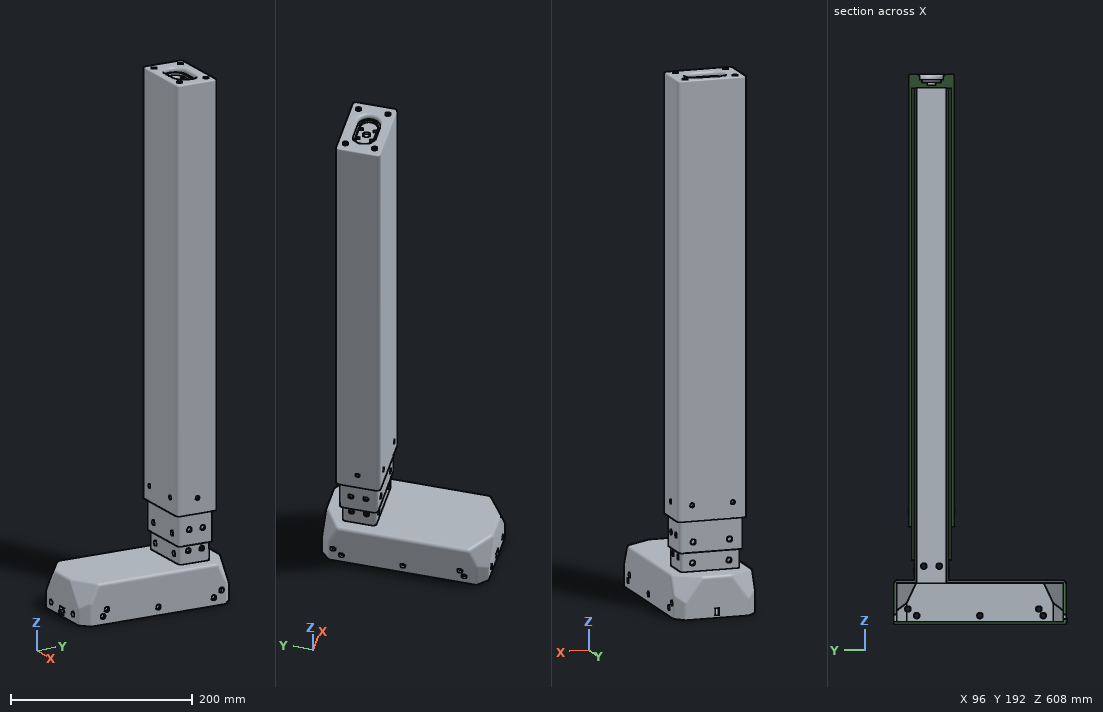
import cadquery as cq

foot_width = 96.0
foot_length = 191.0
foot_height = 49.0
foot_wall = 3.5
foot_floor = 3.0
foot_fillet = 5.0
corner_cut = 11.0
bevel_x = 33.5
bevel_y = 21.0
bevel_z = 45.0

foot_hole_d = 6.0
side_hole_ys = (-70.0, 0, 70.0)
side_hole_z = 10.0
upper_side_hole_ys = (-65.0, 79.5)
upper_side_hole_z = 17.0
front_hole_x = 25.0
front_hole_z = 10.0

slot_width = 10.0
slot_bottom = foot_floor
slot_top = 11.0
back_slot_width = 5.0
tab_thickness = 3.0
tab_overhang = 1.0

groove_length = 32.0
groove_width = 3.0
groove_depth = 2.0
groove_angle = 72
groove_centres = ((-25.5, -11.5), (29.0, -31.5))

column_y = 53.5
column_top = 608.0
tube_wall = 3.0
outer_width = 81.0
outer_depth = 51.0
outer_bottom = 107.5
middle_width = 74.0
middle_depth = 44.0
middle_bottom = 71.0
inner_width = 69.5
inner_depth = 39.0
corner_radius = 4.0
bore_corner_radius = 2.5

cap_thickness = 15.0
cap_edge = 2.0
cap_underside = column_top - cap_thickness
cap_screw_d = 3.0
cap_screw_sink_d = 6.0
cap_screw_sink_depth = 1.0
cap_screw_depth = 9.0
cap_screw_x = 58.5
cap_screw_y = 33.5

recess_straight = 20.0
recess_radius = 13.0
ledge_depth = 6.0
recess_depth = 9.0
ledge_width = 2.5
recess_mouth_fillet = 4.0
floor_hole_d = 3.5
floor_hole_pitch = 15.0
floor_bore_d = 8.5
floor_hole_depth = 3.0

tube_hole_d = 6.0
tube_front_hole_x = 21.0
tube_side_hole_y = 8.5
inner_front_hole_z = 59.0
inner_side_hole_z = 64.5
middle_front_hole_z = 83.0
middle_side_hole_z = 89.5
outer_hole_d = 5.0
outer_hole_x = 24.0
outer_hole_z = 126.0


def drill_x(diameter, length, start_x, y, z):
    """Cylinder along +X."""
    return cq.Workplane("YZ", origin=(start_x, y, z)).circle(diameter / 2).extrude(length)


def drill_y(diameter, length, x, start_y, z):
    """Cylinder along +Y."""
    return cq.Workplane("XZ", origin=(x, start_y, z)).circle(diameter / 2).extrude(-length)


def block(width, depth, bottom, top, radius):
    """Upright column block with rounded corners, on the column axis."""
    return (
        cq.Workplane("XY", origin=(0, column_y, bottom))
        .rect(width, depth)
        .extrude(top - bottom)
        .edges("|Z")
        .fillet(radius)
    )


def corner_bevel(inset):
    """Tetrahedron that bevels the top corner at +X +Y, moved in by the inset on every side."""
    x = foot_width / 2 - inset
    y = foot_length / 2 - inset
    z = foot_height - inset
    corner = cq.Vector(x, y, z)
    along_x = cq.Vector(x - bevel_x, y, z)
    along_y = cq.Vector(x, y - bevel_y, z)
    down_z = cq.Vector(x, y, z - bevel_z)
    triangles = (
        (corner, along_x, along_y),
        (corner, along_y, down_z),
        (corner, down_z, along_x),
        (along_x, down_z, along_y),
    )
    faces = [cq.Face.makeFromWires(cq.Wire.makePolygon(t, close=True)) for t in triangles]
    return cq.Workplane(cq.Solid.makeSolid(cq.Shell.makeShell(faces)))


def foot_block(inset, bottom):
    """Foot outline with cut and bevelled corners, moved in by the inset on top and sides."""
    body = (
        cq.Workplane("XY", origin=(0, 0, bottom))
        .rect(foot_width - 2 * inset, foot_length - 2 * inset)
        .extrude(foot_height - inset - bottom)
        .edges("|Z")
        .chamfer(corner_cut)
    )
    bevel = corner_bevel(inset)
    back_left = bevel.mirror("YZ")
    for cutter in (bevel, back_left, bevel.mirror("XZ"), back_left.mirror("XZ")):
        body = body.cut(cutter)
    return body


def end_slot(width, start_y):
    """Rectangular opening through one end wall."""
    return cq.Workplane("XY", origin=(0, start_y, slot_bottom)).box(
        width, foot_wall, slot_top - slot_bottom, centered=(True, False, False)
    )


def cut_foot_holes(body):
    left = -foot_width / 2
    front = -foot_length / 2
    for y in side_hole_ys:
        body = body.cut(drill_x(foot_hole_d, foot_width, left, y, side_hole_z))
    for y in upper_side_hole_ys:
        body = body.cut(drill_x(foot_hole_d, foot_width, left, y, upper_side_hole_z))
    for x in (-front_hole_x, front_hole_x):
        body = body.cut(drill_y(foot_hole_d, foot_wall, x, front, front_hole_z))
    front_slot = end_slot(slot_width, front)
    back_slot = end_slot(back_slot_width, foot_length / 2 - foot_wall)
    return body.cut(front_slot).cut(back_slot)


def slot_tab():
    """Tongue lying on the floor of the front cable slot and standing slightly proud."""
    return cq.Workplane("XY").box(
        slot_width, foot_wall + tab_overhang, tab_thickness, centered=(True, False, False)
    ).translate((0, -foot_length / 2 - tab_overhang, slot_bottom))


def cut_grooves(body):
    """Slanted grooves cut from inside the foot into its top wall."""
    for x, y in groove_centres:
        groove = (
            cq.Workplane("XY", origin=(x, y, foot_height - foot_wall))
            .transformed(rotate=(0, 0, groove_angle))
            .rect(groove_length, groove_width)
            .extrude(groove_depth)
        )
        body = body.cut(groove)
    return body


def cut_tube_holes(body, width, depth, front_z, side_z):
    """Two cross holes along Y and two along X through a tube."""
    for sign in (-1, 1):
        front_x = sign * tube_front_hole_x
        side_y = column_y + sign * tube_side_hole_y
        body = body.cut(drill_y(tube_hole_d, depth, front_x, column_y - depth / 2, front_z))
        body = body.cut(drill_x(tube_hole_d, width, -width / 2, side_y, side_z))
    return body


def make_foot():
    """Hollow foot with the innermost column tube standing on it."""
    shell = foot_block(0, 0).edges("not <Z").fillet(foot_fillet)
    shell = shell.cut(foot_block(foot_wall, foot_floor))
    shell = cut_grooves(cut_foot_holes(shell)).union(slot_tab())
    tube_base = foot_height - foot_wall
    tube = block(inner_width, inner_depth, tube_base, cap_underside, corner_radius)
    bore = block(
        inner_width - 2 * tube_wall,
        inner_depth - 2 * tube_wall,
        tube_base,
        cap_underside,
        bore_corner_radius,
    )
    body = shell.union(tube).cut(bore)
    return cut_tube_holes(body, inner_width, inner_depth, inner_front_hole_z, inner_side_hole_z)


def make_middle_tube():
    """Middle tube that slides over the inner tube."""
    tube = block(middle_width, middle_depth, middle_bottom, cap_underside, corner_radius)
    tube = cut_tube_holes(tube, middle_width, middle_depth, middle_front_hole_z, middle_side_hole_z)
    return tube.cut(block(inner_width, inner_depth, middle_bottom, cap_underside, corner_radius))


def cap_stadium(radius, bottom, top):
    """Upright stadium on the column axis."""
    return (
        cq.Workplane("XY", origin=(0, column_y, bottom))
        .slot2D(recess_straight + 2 * radius, 2 * radius)
        .extrude(top - bottom)
    )


def cap_cylinders(diameter, pitch_x, pitch_y, bottom, top):
    """Four upright cylinders at the corners of a rectangle on the column axis."""
    return (
        cq.Workplane("XY", origin=(0, column_y, bottom))
        .rect(pitch_x, pitch_y, forConstruction=True)
        .vertices()
        .circle(diameter / 2)
        .extrude(top - bottom)
    )


def cut_cap_recess(tube):
    """Stepped stadium recess with a rounded mouth and blind holes in its floor."""
    ledge_z = column_top - ledge_depth
    floor_z = column_top - recess_depth
    holes_z = floor_z - floor_hole_depth
    tube = tube.cut(cap_stadium(recess_radius, ledge_z, column_top))
    mouth = cq.selectors.BoxSelector(
        (-cap_screw_x / 2, column_y - cap_screw_y / 2, column_top - cap_edge / 2),
        (cap_screw_x / 2, column_y + cap_screw_y / 2, column_top + cap_edge / 2),
    )
    tube = tube.edges(mouth).fillet(recess_mouth_fillet)
    tube = tube.cut(cap_stadium(recess_radius - ledge_width, floor_z, ledge_z))
    tube = tube.cut(cap_cylinders(floor_hole_d, floor_hole_pitch, floor_hole_pitch, holes_z, floor_z))
    bore_base = cq.Workplane("XY", origin=(0, column_y, holes_z))
    bore = bore_base.circle(floor_bore_d / 2).extrude(floor_hole_depth)
    return tube.cut(bore)


def cut_cap_screws(tube):
    """Counterbored screw holes at the cap corners."""
    hole_bottom = column_top - cap_screw_depth
    sink_bottom = column_top - cap_screw_sink_depth
    tube = tube.cut(cap_cylinders(cap_screw_d, cap_screw_x, cap_screw_y, hole_bottom, column_top))
    return tube.cut(cap_cylinders(cap_screw_sink_d, cap_screw_x, cap_screw_y, sink_bottom, column_top))


def make_outer_tube():
    """Outer tube closed at the top by its cap."""
    tube = block(outer_width, outer_depth, outer_bottom, column_top, corner_radius)
    tube = tube.faces(">Z").edges().fillet(cap_edge)
    tube = cut_cap_screws(cut_cap_recess(tube))
    for x in (-outer_hole_x, outer_hole_x):
        tube = tube.cut(drill_y(outer_hole_d, outer_depth, x, column_y - outer_depth / 2, outer_hole_z))
    tube = tube.cut(drill_x(outer_hole_d, outer_width, -outer_width / 2, column_y, outer_hole_z))
    return tube.cut(block(middle_width, middle_depth, outer_bottom, cap_underside, corner_radius))


foot = make_foot()
middle_tube = make_middle_tube()
outer_tube = make_outer_tube()

result = cq.Compound.makeCompound([foot.val(), middle_tube.val(), outer_tube.val()])